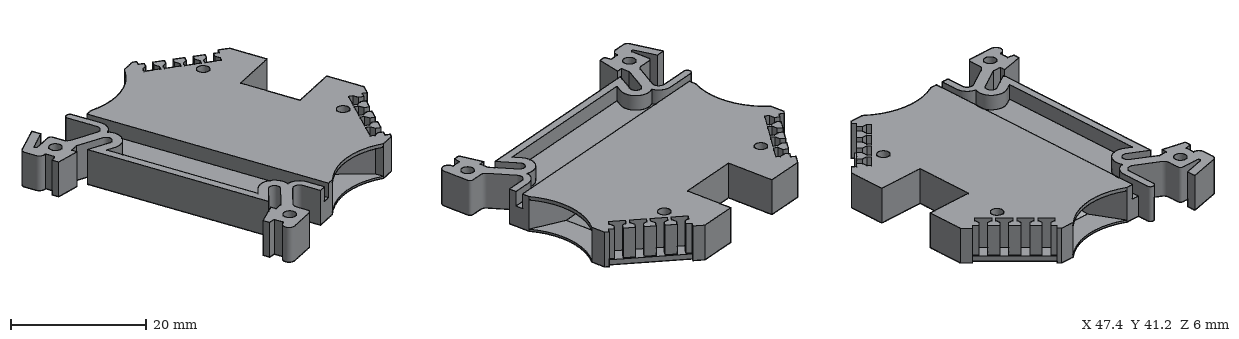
import cadquery as cq
import math


thickness = 6.0
height = 41.2
body_half_width = 22.0
base_half_width = 20.5

slot_half_width = 5.05
slot_floor_y = 33.15
top_half_width = 11.4
side_y = 28.2
waist = (19.2, 20.5)
side_bottom_y = 15.4

test_hole_at = (11.87, 34.0)
hole_diameter = 2.0
test_hole_depth = 3.0
test_hole_draft = 2.0

marker_length = 12.5
marker_centre_x = 17.1
marker_web_setback = 0.5
marker_web_thickness = 0.9
tooth_setback = 0.8
tooth_gap_count = 4
tooth_gap_pitch = 3.12
gap_neck_half = 0.64
gap_root_half = 1.28
gap_neck_end = 0.85
gap_flare_end = 1.5
gap_depth = 2.2

funnel_low_z = 0.37
funnel_high_z = 5.4
funnel_lip_x = 20.6
funnel_end_x = 12.9
funnel_back_x = 12.5
funnel_end_low_y = 19.45
funnel_end_high_y = 23.7
funnel_back_high_y = 23.05
throat_low_z = 1.63
throat_high_z = 5.05
floor_ramp_x = 15.1
ceiling_ramp_x = 14.1

step_y = 14.2
floor_z = 3.5
base_y = 5.25
base_wall = 1.28

flange_thickness = 1.22
flange_top_y = 13.0
flange_bottom_y = flange_top_y - flange_thickness
bend_radius = 1.0
clip_angle = math.radians(60)
gap_centre = (14.3, 8.93)
gap_radius = 0.89
loop_radius = gap_radius + 1.55
arm_outer_offset = gap_radius + 1.8
long_flange_end = 23.0
long_flange_end_radius = 0.6

foot_outer_x = 22.2
foot_top_y = 5.88
foot_inner_x = 17.35
toe_x = 16.43
toe_y = 3.96
notch_inner_x = 18.44
notch_lean = 0.2
notch_outer_x = 20.2
notch_y = 1.1
heel_radius = (foot_outer_x - notch_outer_x) / 2
heel_centre_x = notch_outer_x + heel_radius
foot_corner_radius = 0.55
arm_root_radius = 1.0
foot_hole_at = (19.88, 3.55)

hook_tip_x = 25.2
hook_tip_width = 1.52
hook_heel_x = 23.73
hook_heel_radius = 0.8
hook_gap_y = 2.3
hook_gap_width = 0.55

lean = (math.cos(clip_angle), -math.sin(clip_angle))
across = (math.sin(clip_angle), math.cos(clip_angle))


def clip_x(offset, y):
    """X at height y on the leaning line that passes the gap centre at this offset."""
    start_x = gap_centre[0] + offset * across[0]
    start_y = gap_centre[1] + offset * across[1]
    return start_x + (y - start_y) * lean[0] / lean[1]


def gap_point(offset, direction):
    return (gap_centre[0] + offset * direction[0], gap_centre[1] + offset * direction[1])


def round_edge(body, x, y, radius):
    """Round the edge along Z that stands at (x, y)."""
    reach = 0.05
    box = cq.selectors.BoxSelector(
        (x - reach, y - reach, -1), (x + reach, y + reach, thickness + 1)
    )
    return body.edges("|Z").edges(box).fillet(radius)


def half_plate():
    corner_y = height - (body_half_width - top_half_width)
    arm_inner_y = gap_centre[1] + (
        (foot_inner_x - gap_centre[0] - gap_radius * across[0]) * lean[1] / lean[0]
        + gap_radius * across[1]
    )
    arm_foot_x = clip_x(arm_outer_offset, foot_top_y)
    arm_flange_x = clip_x(arm_outer_offset, flange_bottom_y)
    outline = (
        cq.Workplane("XY")
        .moveTo(0, base_y)
        .lineTo(clip_x(-gap_radius, base_y), base_y)
        .lineTo(*gap_point(-gap_radius, across))
        .threePointArc(gap_point(-gap_radius, lean), gap_point(gap_radius, across))
        .lineTo(foot_inner_x, arm_inner_y)
        .lineTo(foot_inner_x, toe_y)
        .lineTo(toe_x, toe_y)
        .lineTo(foot_inner_x, 0)
        .lineTo(notch_inner_x, 0)
        .lineTo(notch_inner_x + notch_lean, notch_y)
        .lineTo(notch_outer_x, notch_y)
        .lineTo(notch_outer_x, heel_radius)
        .threePointArc((heel_centre_x, 0), (foot_outer_x, heel_radius))
        .lineTo(foot_outer_x, foot_top_y)
        .lineTo(arm_foot_x, foot_top_y)
        .lineTo(arm_flange_x, flange_bottom_y)
        .lineTo(base_half_width, flange_bottom_y)
        .lineTo(base_half_width, side_bottom_y)
        .threePointArc(waist, (body_half_width, side_y))
        .lineTo(body_half_width, corner_y)
        .lineTo(top_half_width, height)
        .lineTo(slot_half_width, height)
        .lineTo(slot_half_width, slot_floor_y)
        .lineTo(0, slot_floor_y)
        .close()
    )
    plate = outline.extrude(thickness)
    plate = round_edge(plate, foot_outer_x, foot_top_y, foot_corner_radius)
    plate = round_edge(plate, arm_foot_x, foot_top_y, arm_root_radius)
    return round_edge(plate, arm_flange_x, flange_bottom_y, bend_radius)


def lowered_floor_cut():
    """Space above the lowered floor, bounded by the step, the clip and the base wall."""
    bend_y = flange_bottom_y - bend_radius
    bend_x = clip_x(arm_outer_offset + bend_radius, bend_y)
    floor_y = base_y + base_wall
    above_floor = cq.Workplane("XY").workplane(offset=floor_z)
    space = (
        above_floor
        .moveTo(0, floor_y)
        .lineTo(clip_x(-loop_radius, floor_y), floor_y)
        .lineTo(*gap_point(-loop_radius, across))
        .lineTo(*gap_centre)
        .lineTo(bend_x, bend_y)
        .lineTo(bend_x, flange_top_y)
        .lineTo(base_half_width, flange_top_y)
        .lineTo(base_half_width, step_y)
        .lineTo(0, step_y)
        .close()
        .extrude(thickness - floor_z)
    )
    loop = above_floor.center(*gap_centre).circle(loop_radius).extrude(thickness)
    bend = above_floor.center(bend_x, bend_y).circle(bend_radius + flange_thickness).extrude(thickness)
    return space.cut(loop).cut(bend)


def marker_cut():
    """Setback of the 45 degree edge with the flared gaps between the teeth."""
    marker_centre = (marker_centre_x, height - (marker_centre_x - top_half_width), 0)
    edge = cq.Workplane(cq.Plane(marker_centre, xDir=(1, -1, 0), normal=(0, 0, 1)))
    above_web = edge.workplane(offset=marker_web_thickness)
    cut = edge.rect(marker_length, 2 * marker_web_setback).extrude(thickness)
    cut = cut.union(above_web.rect(marker_length, 2 * tooth_setback).extrude(thickness))
    for index in range(tooth_gap_count):
        along = (index - (tooth_gap_count - 1) / 2) * tooth_gap_pitch
        right_side = [
            (gap_neck_half, 0),
            (gap_neck_half, -tooth_setback - gap_neck_end),
            (gap_root_half, -tooth_setback - gap_flare_end),
            (gap_root_half, -tooth_setback - gap_depth),
        ]
        left_side = [(-x, y) for x, y in reversed(right_side)]
        gap = above_web.center(along, 0).polyline(right_side + left_side).close()
        cut = cut.union(gap.extrude(thickness))
    return cut


def funnel_cut():
    """Wire entry: converging side walls combined with a ramped floor and ceiling."""
    plan = (
        cq.Workplane("XY")
        .polyline([
            (body_half_width, side_bottom_y),
            (base_half_width, side_bottom_y),
            (funnel_end_x, funnel_end_low_y),
            (funnel_back_x, funnel_end_low_y),
            (funnel_back_x, funnel_back_high_y),
            (funnel_end_x, funnel_end_high_y),
            (funnel_lip_x, side_y),
            (body_half_width, side_y),
        ])
        .close()
        .extrude(thickness)
    )
    profile = (
        cq.Workplane("XZ")
        .polyline([
            (body_half_width, funnel_low_z),
            (floor_ramp_x, funnel_low_z),
            (funnel_end_x, throat_low_z),
            (funnel_back_x, throat_low_z),
            (funnel_back_x, throat_high_z),
            (funnel_end_x, throat_high_z),
            (ceiling_ramp_x, funnel_high_z),
            (body_half_width, funnel_high_z),
        ])
        .close()
        .extrude(-height)
    )
    return plan.intersect(profile)


def hole_cut(centre, depth, draft=0):
    """Round hole sunk from the top face."""
    top = cq.Workplane("XY").workplane(offset=thickness)
    return top.center(*centre).circle(hole_diameter / 2).extrude(-depth, taper=draft)


def hook():
    """Springy hook that leans away from the -X foot."""
    gap_near_x = -foot_outer_x
    gap_far_x = gap_near_x - hook_gap_width
    gap_middle = ((gap_near_x + gap_far_x) / 2, hook_gap_y - hook_gap_width / 2)
    body = (
        cq.Workplane("XY")
        .moveTo(-hook_tip_x, foot_top_y)
        .lineTo(-hook_tip_x + hook_tip_width, foot_top_y)
        .lineTo(gap_far_x, hook_gap_y)
        .threePointArc(gap_middle, (gap_near_x, hook_gap_y))
        .lineTo(-heel_centre_x, hook_gap_y)
        .lineTo(-heel_centre_x, 0)
        .lineTo(-hook_heel_x, 0)
        .close()
        .extrude(thickness)
    )
    return round_edge(body, -hook_heel_x, 0, hook_heel_radius)


def long_flange():
    """Extension of the -X flange beyond the housing, with a rounded end."""
    body = (
        cq.Workplane("XY")
        .moveTo(-long_flange_end, flange_bottom_y)
        .lineTo(-base_half_width, flange_bottom_y)
        .lineTo(-base_half_width, flange_top_y)
        .lineTo(-long_flange_end, flange_top_y)
        .close()
        .extrude(thickness)
    )
    return body.edges("|Z and <X").fillet(long_flange_end_radius)


half = half_plate()
half = half.cut(lowered_floor_cut())
half = half.cut(marker_cut())
half = half.cut(funnel_cut())
half = half.cut(hole_cut(test_hole_at, test_hole_depth, test_hole_draft))
half = half.cut(hole_cut(foot_hole_at, thickness))

result = half.union(half.mirror("YZ"))
result = result.union(hook()).union(long_flange())